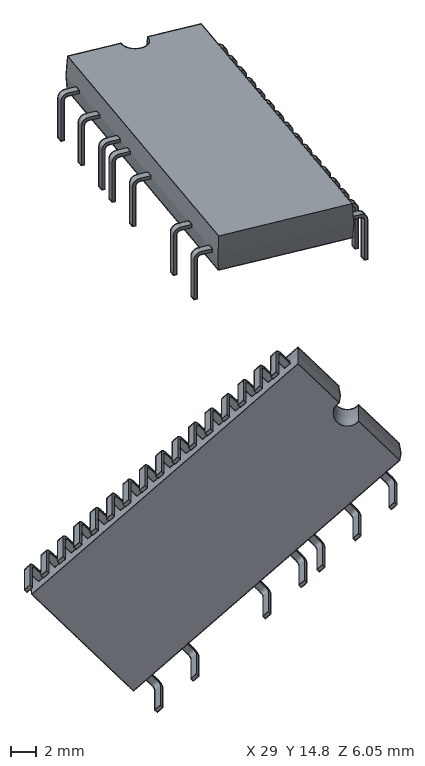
import cadquery as cq
import math

length = 29.0
lead_span = 14.85
total_height = 6.05

body_width = 11.7
body_bottom = 2.9
parting_height = 4.23
draft_angle = 3.0

notch_radius = 1.05
notch_center_inset = 0.23

lead_width = 0.6
lead_thickness = 0.3
bend_radius = 0.65
lead_top = 4.32
lead_embed = 0.3

rear_count = 16
rear_row_length = 26.68
rear_pitch = rear_row_length / (rear_count - 1)

front_slots = (0, 2, 4, 5, 7, 11, 13)
front_row_length = 25.38
front_row_center = 0.44
front_pitch = front_row_length / front_slots[-1]


def tapered_half(height, direction):
    """One body half, drafted inward from the parting plane, with its notch opening outward."""
    plane = cq.Plane(origin=(0, 0, parting_height), xDir=(1, 0, 0), normal=(0, 0, direction))
    block = cq.Workplane(plane).rect(length, body_width).extrude(height, taper=draft_angle)
    outer_radius = notch_radius + height * math.tan(math.radians(draft_angle))
    notch = (
        cq.Workplane(plane)
        .center(notch_center_inset - length / 2, 0)
        .circle(notch_radius)
        .workplane(offset=height)
        .circle(outer_radius)
        .loft()
    )
    return block.cut(notch)


def make_lead(x, side):
    """One bent lead: out of the body at the parting plane, then down; side is +1 for +Y, -1 for -Y."""
    outer = side * lead_span / 2
    inner = outer - side * lead_thickness
    root = side * (body_width / 2 - lead_embed)
    bend_y = outer - side * bend_radius
    bend_z = lead_top - bend_radius
    inner_radius = bend_radius - lead_thickness
    diagonal = math.sqrt(0.5)
    outer_mid = (bend_y + side * bend_radius * diagonal, bend_z + bend_radius * diagonal)
    inner_mid = (bend_y + side * inner_radius * diagonal, bend_z + inner_radius * diagonal)
    return (
        cq.Workplane("YZ", origin=(x, 0, 0))
        .moveTo(root, lead_top)
        .lineTo(bend_y, lead_top)
        .threePointArc(outer_mid, (outer, bend_z))
        .lineTo(outer, 0)
        .lineTo(inner, 0)
        .lineTo(inner, bend_z)
        .threePointArc(inner_mid, (bend_y, lead_top - lead_thickness))
        .lineTo(root, lead_top - lead_thickness)
        .close()
        .extrude(lead_width / 2, both=True)
    )


upper_half = tapered_half(total_height - parting_height, 1)
lower_half = tapered_half(parting_height - body_bottom, -1)
result = upper_half.union(lower_half)

for index in range(rear_count):
    rear_x = index * rear_pitch - rear_row_length / 2
    result = result.union(make_lead(rear_x, 1))

for slot in front_slots:
    front_x = front_row_center - front_row_length / 2 + slot * front_pitch
    result = result.union(make_lead(front_x, -1))